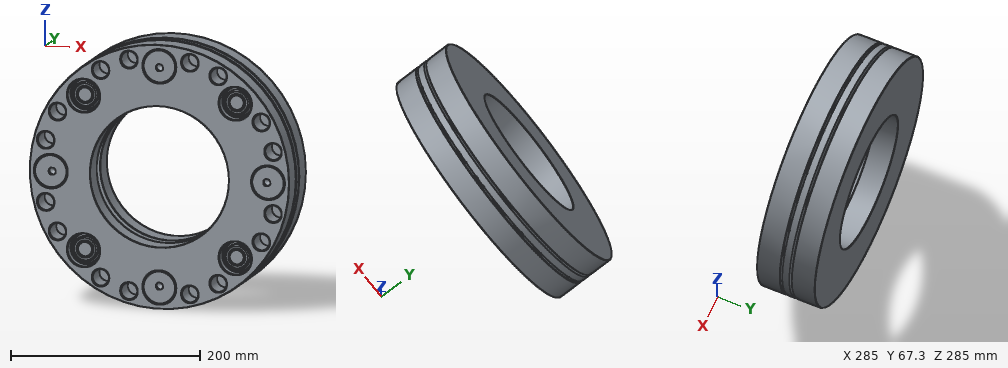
import cadquery as cq
import math

outer_diameter = 285.0
bore_diameter = 152.0
ring_bore_diameter = 180.0
total_thickness = 67.3
plate_thickness = 27.0
ring_thickness = 8.0
gap = (total_thickness - 2 * plate_thickness - ring_thickness) / 2
edge_chamfer = 0.5

front_y = -total_thickness / 2
ring_front_y = -ring_thickness / 2
back_plate_y = total_thickness / 2 - plate_thickness

pitch_radius = 117.7
spacer_diameter = 32.0
adjuster_angles = [0, 90, 180, 270]
clamp_angles = [45, 135, 225, 315]

mount_radius = 129.0
mount_diameter = 17.5
mount_depth = plate_thickness
mount_chamfer = 1.0
mount_angles = [quarter + step for quarter in adjuster_angles for step in (15, 30, 60, 75)]

disc_pitch_radius = 119.0
groove_outer_diameter = 37.5
groove_root_diameter = 36.0
groove_inner_diameter = 34.2
groove_depth = 0.9
drill_diameter = 8.0
drill_depth = 4.3
drill_tip_angle = 118.0

recess_rim_diameter = 37.0
recess_diameter = 35.0
washer_diameter = 32.0
washer_slope = 30.0
nut_diameter = 27.5
nut_top_diameter = 24.0
nut_top_depth = 6.3
nut_chamfer_height = 1.0
nut_visible_height = 4.0
nut_bore_rim_diameter = 19.0
stud_diameter = 17.5
stud_tip_diameter = 15.0


def polar_point(radius, angle):
    """X and Z of a point on a circle about the part axis."""
    a = math.radians(angle)
    return radius * math.cos(a), radius * math.sin(a)


def cylinder(diameter, y_start, length, x=0.0, z=0.0):
    """Solid cylinder running from y_start toward +Y."""
    base = cq.Plane(origin=(x, y_start, z), xDir=(1, 0, 0), normal=(0, 1, 0))
    return cq.Workplane(base).circle(diameter / 2).extrude(length)


def turned(profile, x, z):
    """Revolve (radius, depth) points about a Y axis; depth runs inward from the front face."""
    base = cq.Plane(origin=(x, front_y, z), xDir=(1, 0, 0), normal=(0, 0, 1))
    return cq.Workplane(base).polyline(profile).close().revolve(360, (0, 0), (0, 1))


def annulus(bore, y_start, thickness):
    """Flat ring of the full outer diameter."""
    return cylinder(outer_diameter, y_start, thickness).cut(cylinder(bore, y_start, thickness))


def plate(y_start):
    """End plate with every rim edge chamfered."""
    return annulus(bore_diameter, y_start, plate_thickness).edges().chamfer(edge_chamfer)


def spacer(angle):
    """Round spacer reaching through the middle ring from plate to plate."""
    length = ring_thickness + 2 * gap
    return cylinder(spacer_diameter, front_y + plate_thickness, length, *polar_point(pitch_radius, angle))


def mount_hole(angle):
    """Hole through the front plate with a chamfered mouth."""
    r = mount_diameter / 2
    rim = r + mount_chamfer
    profile = [(0, 0), (rim, 0), (r, mount_chamfer), (r, mount_depth), (0, mount_depth)]
    return turned(profile, *polar_point(mount_radius, angle))


def adjuster_groove(angle):
    """V-shaped groove around the eccentric disc."""
    profile = [
        (groove_outer_diameter / 2, 0),
        (groove_root_diameter / 2, groove_depth),
        (groove_inner_diameter / 2, 0),
    ]
    return turned(profile, *polar_point(disc_pitch_radius, angle))


def adjuster_drill(angle):
    """Short drilled hole with a conical bottom."""
    r = drill_diameter / 2
    tip = drill_depth + r / math.tan(math.radians(drill_tip_angle / 2))
    return turned([(0, 0), (r, 0), (r, drill_depth), (0, tip)], *polar_point(pitch_radius, angle))


def clamp_recess(angle):
    """Recess volume left around the washer, the nut and the stud end."""
    rim_depth = (recess_rim_diameter - recess_diameter) / 2
    washer_top_depth = nut_top_depth + nut_visible_height
    washer_height = (washer_diameter - nut_diameter) / 2 * math.tan(math.radians(washer_slope))
    recess_depth = washer_top_depth + washer_height
    stud_chamfer_depth = nut_top_depth + (nut_bore_rim_diameter - stud_diameter) / 2
    stud_tip_depth = stud_chamfer_depth - (stud_diameter - stud_tip_diameter) / 2
    profile = [
        (0, 0),
        (recess_rim_diameter / 2, 0),
        (recess_diameter / 2, rim_depth),
        (recess_diameter / 2, recess_depth),
        (washer_diameter / 2, recess_depth),
        (nut_diameter / 2, washer_top_depth),
        (nut_diameter / 2, nut_top_depth + nut_chamfer_height),
        (nut_top_diameter / 2, nut_top_depth),
        (nut_bore_rim_diameter / 2, nut_top_depth),
        (stud_diameter / 2, stud_chamfer_depth),
        (stud_tip_diameter / 2, stud_tip_depth),
        (0, stud_tip_depth),
    ]
    return turned(profile, *polar_point(pitch_radius, angle))


result = plate(front_y).union(plate(back_plate_y))
result = result.union(annulus(ring_bore_diameter, ring_front_y, ring_thickness))
for angle in adjuster_angles + clamp_angles:
    result = result.union(spacer(angle))
for angle in mount_angles:
    result = result.cut(mount_hole(angle))
for angle in adjuster_angles:
    result = result.cut(adjuster_groove(angle)).cut(adjuster_drill(angle))
for angle in clamp_angles:
    result = result.cut(clamp_recess(angle))